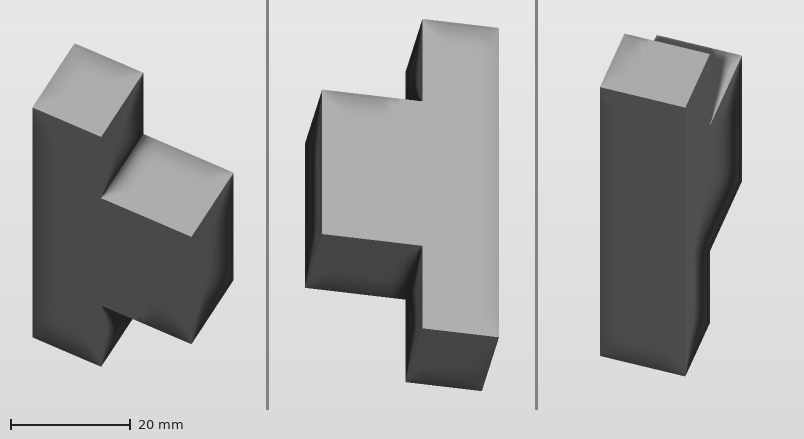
import cadquery as cq

bar_height = 65.0
bar_width = 13.0
total_width = 30.0
depth = 15.0
block_height = 30.35

block_width = total_width - bar_width

bar = cq.Workplane("XY").box(bar_width, depth, bar_height, centered=(False, True, True))

block = (
    cq.Workplane("XY")
    .box(block_width, depth, block_height, centered=(False, True, True))
    .translate((bar_width, 0, 0))
)

result = bar.union(block)